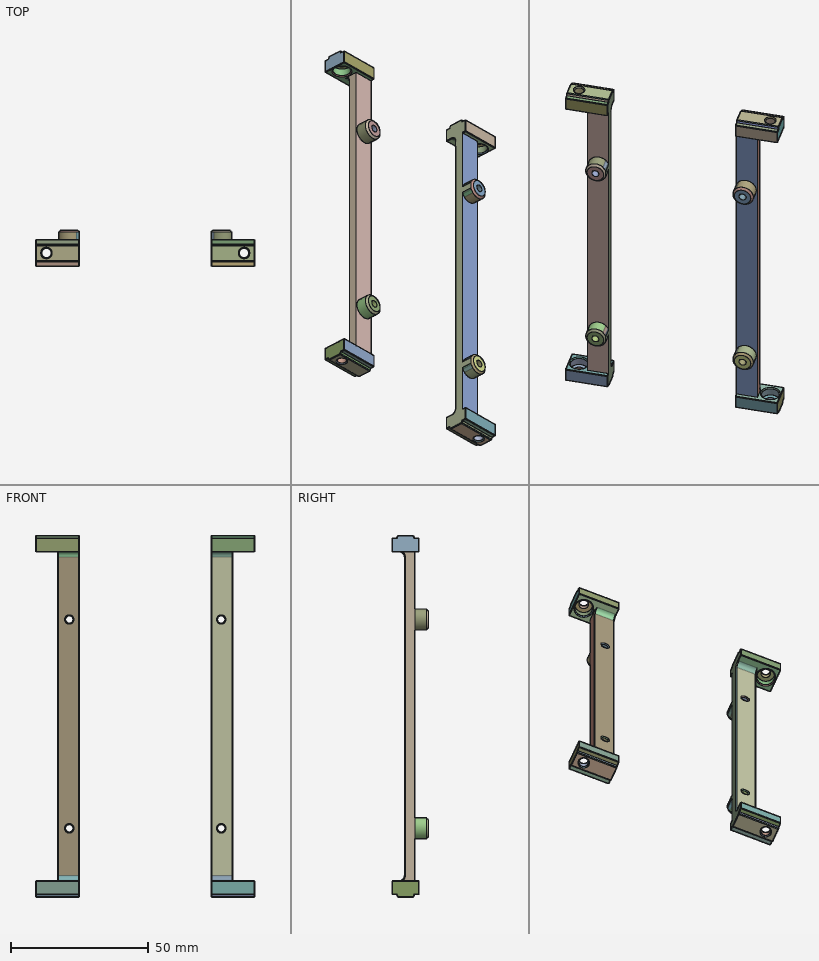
import cadquery as cq
import math

OVERALL_WIDTH = 80.0
OVERALL_HEIGHT = 132.0
EDGE_CHAMFER = 0.4

FOOT_LENGTH = 16.0
FOOT_DEPTH = 9.9
FOOT_HEIGHT = 6.1
FOOT_CHAMFER = 0.3
RIDGE_HEIGHT = 0.9
RIDGE_BASE_WIDTH = 6.6
RIDGE_CREST_WIDTH = 5.8

SCREW_HOLE_DIAMETER = 3.4
SCREW_HOLE_INSET = 4.0
COUNTERBORE_DIAMETER = 6.5
COUNTERBORE_DEPTH = 3.2

BAR_WIDTH = 8.0
BAR_THICKNESS = 3.8
BAR_BACK_INSET = 1.6
CORNER_RADIUS = 1.8

PEG_DIAMETER = 7.8
PEG_LENGTH = 5.0
PEG_TIP_CHAMFER = 0.8
PEG_FLAT_DISTANCE = 3.7
PEG_FLAT_WIDTH = 2.9
PEG_FACET_START = 2.6
PEG_HOLE_DIAMETER = 2.6
PEG_SPACING = 76.2
PEG_CENTRE_Z = -2.8

outer_x = OVERALL_WIDTH / 2
inner_x = outer_x - FOOT_LENGTH
bar_back_y = FOOT_DEPTH / 2 - BAR_BACK_INSET
bar_front_y = bar_back_y - BAR_THICKNESS
peg_tip_y = bar_back_y + PEG_LENGTH
top_z = OVERALL_HEIGHT / 2
foot_inner_z = top_z - FOOT_HEIGHT
shoulder_z = top_z - RIDGE_HEIGHT
bar_end_z = foot_inner_z + FOOT_HEIGHT / 2
peg_x = inner_x + PEG_FLAT_DISTANCE
screw_x = outer_x - SCREW_HOLE_INSET


def make_foot():
    """Upper foot: a block with a low ridge along its outer face, bevelled except in the two valleys."""
    half_depth = FOOT_DEPTH / 2
    half_base = RIDGE_BASE_WIDTH / 2
    half_crest = RIDGE_CREST_WIDTH / 2
    foot = (
        cq.Workplane("YZ", origin=(inner_x, 0, 0))
        .moveTo(-half_depth, foot_inner_z)
        .lineTo(half_depth, foot_inner_z)
        .lineTo(half_depth, shoulder_z)
        .lineTo(half_base, shoulder_z)
        .lineTo(half_crest, top_z)
        .lineTo(-half_crest, top_z)
        .lineTo(-half_base, shoulder_z)
        .lineTo(-half_depth, shoulder_z)
        .close()
        .extrude(FOOT_LENGTH)
    )
    mid_x = inner_x + FOOT_LENGTH / 2
    valleys = cq.selectors.NearestToPointSelector((mid_x, -half_base, shoulder_z)) + (
        cq.selectors.NearestToPointSelector((mid_x, half_base, shoulder_z))
    )
    return foot.edges(cq.selectors.InverseSelector(valleys)).chamfer(FOOT_CHAMFER)


def make_bar():
    """Upright bar, flared at the front into both feet, its front edges bevelled."""
    flare_y = bar_front_y - CORNER_RADIUS
    flare_z = foot_inner_z - CORNER_RADIUS
    bar = (
        cq.Workplane("YZ", origin=(inner_x, 0, 0))
        .moveTo(bar_back_y, -bar_end_z)
        .lineTo(bar_back_y, bar_end_z)
        .lineTo(flare_y, bar_end_z)
        .lineTo(flare_y, foot_inner_z)
        .radiusArc((bar_front_y, flare_z), CORNER_RADIUS)
        .lineTo(bar_front_y, -flare_z)
        .radiusArc((flare_y, -foot_inner_z), CORNER_RADIUS)
        .lineTo(flare_y, -bar_end_z)
        .close()
        .extrude(BAR_WIDTH)
    )
    front_centre = (inner_x + BAR_WIDTH / 2, bar_front_y, 0)
    front_face = bar.faces(cq.selectors.NearestToPointSelector(front_centre))
    return front_face.edges("|Z").chamfer(EDGE_CHAMFER)


def make_peg(z):
    """D-shaped peg on the back of the bar, with slanted facets beside its flat."""
    radius = PEG_DIAMETER / 2
    facet_z = math.sqrt(radius**2 - PEG_FACET_START**2)
    outline = (
        cq.Workplane("XZ", origin=(peg_x, bar_back_y, z))
        .moveTo(-PEG_FACET_START, facet_z)
        .threePointArc((radius, 0), (-PEG_FACET_START, -facet_z))
        .lineTo(-PEG_FLAT_DISTANCE, -PEG_FLAT_WIDTH / 2)
        .lineTo(-PEG_FLAT_DISTANCE, PEG_FLAT_WIDTH / 2)
        .close()
        .extrude(-PEG_LENGTH)
    )
    tapered_round = (
        cq.Workplane("XZ", origin=(peg_x, bar_back_y, z))
        .circle(radius)
        .extrude(-PEG_LENGTH)
        .faces(">Y")
        .chamfer(PEG_TIP_CHAMFER)
    )
    return outline.intersect(tapered_round)


def bevelled_cutter(plane, start, diameter, depth):
    """Round cutter going into the part from start, widened by a bevel at that rim."""
    hole = cq.Workplane(plane, origin=start).circle(diameter / 2).extrude(depth)
    bevel = (
        cq.Workplane(plane, origin=start)
        .circle(diameter / 2 + EDGE_CHAMFER)
        .extrude(math.copysign(EDGE_CHAMFER, depth), taper=45)
    )
    return hole.union(bevel)


def make_screw_foot():
    """Upper foot with its counterbored screw hole."""
    counterbore = bevelled_cutter(
        "XY", (screw_x, 0, foot_inner_z), COUNTERBORE_DIAMETER, COUNTERBORE_DEPTH
    )
    screw_hole = bevelled_cutter("XY", (screw_x, 0, top_z), SCREW_HOLE_DIAMETER, -FOOT_HEIGHT)
    return make_foot().cut(counterbore).cut(screw_hole)


def make_bracket():
    """Right-hand bracket: bar, two feet and two drilled pegs as one solid."""
    foot = make_screw_foot()
    bracket = make_bar().union(foot).union(foot.mirror("XY"))
    for side in (-1, 1):
        z = PEG_CENTRE_Z + side * PEG_SPACING / 2
        peg_hole = bevelled_cutter(
            "XZ", (peg_x, bar_front_y, z), PEG_HOLE_DIAMETER, bar_front_y - peg_tip_y
        )
        bracket = bracket.union(make_peg(z)).cut(peg_hole)
    return bracket


right_bracket = make_bracket()
left_bracket = right_bracket.mirror("YZ")

result = cq.Compound.makeCompound([left_bracket.val(), right_bracket.val()])